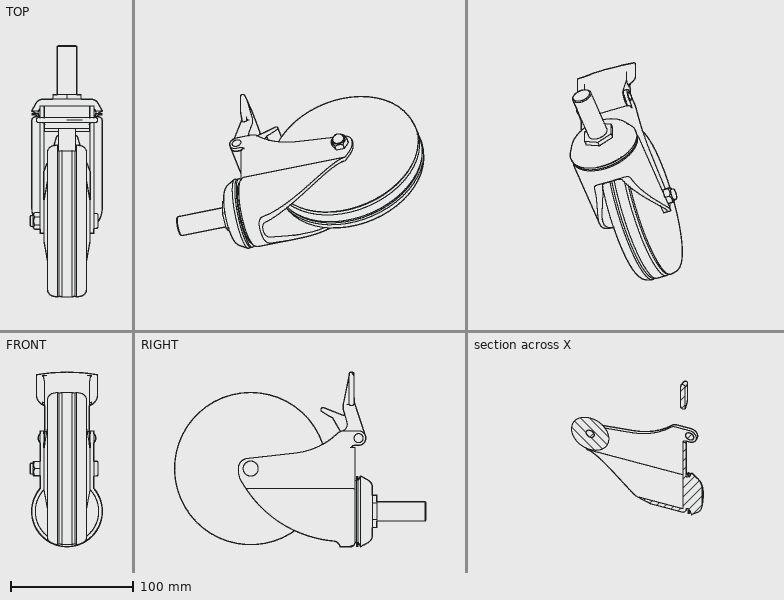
import cadquery as cq
import math


OVERALL_LENGTH = 205.9

WHEEL_RADIUS = 62.4
RIM_FACE_RADIUS = 55.5
RIM_HALF_WIDTH = 16.0
HUB_HALF_WIDTH = 19.0
HUB_RADIUS = 16.7
HUB_CONE_RADIUS = 32.7
CROWN_HALF_WIDTH = 4.1
GROOVE_FLOOR_X = 6.4
GROOVE_OUTER_X = 7.8
GROOVE_DEPTH = 0.8
SHOULDER_X = 10.7
SHOULDER_RADIUS = WHEEL_RADIUS - 0.6
SHOULDER_MIDDLE_X = 14.5
SHOULDER_MIDDLE_RADIUS = 60.0

AXLE_RADIUS = 4.0
NUT_ACROSS_FLATS = 12.0
NUT_HEIGHT = 5.8
NUT_CHAMFER = 1.5
BOLT_TIP_RADIUS = 4.5
BOLT_END_X = -30.3
BOLT_TIP_ROUND = 1.2
BOLT_HEAD_RADIUS = 6.2
BOLT_HEAD_HEIGHT = 3.5
BOLT_HEAD_ROUND = 1.6

SHEET = 3.0
FORK_HALF_GAP = HUB_HALF_WIDTH
FORK_HALF_WIDTH = FORK_HALF_GAP + SHEET
BARREL_RADIUS = 29.0
STEM_Z = -35.0
FORK_BACK_Y = 85.5
FORK_BEND_RADIUS = 3.7
WEB_TOP_Z = 17.3
EAR_RADIUS = 6.0
PIVOT_Y = 88.3
PIVOT_Z = 25.0
PIVOT_RADIUS = 3.7
RIVET_HEIGHT = 1.6

FORK_BROW = (75.8, PIVOT_Z + EAR_RADIUS)
FORK_BROW_END = (71.2, 29.0)
FORK_SADDLE_MIDDLE = (55.5, 18.1)
FORK_SADDLE_END = (37.0, 12.8)
FORK_NOSE_TOP = (-3.0, 8.2)
FORK_NOSE_TOP_MIDDLE = (-8.2, 5.4)
FORK_NOSE_Y = -10.0
FORK_NOSE_FLAT_Z = (-0.2, -2.0)
FORK_CHIN_MIDDLE = (-9.3, -6.8)
FORK_CHIN_END = (-7.2, -11.1)
FORK_SWEEP_START = (-4.0, -16.3)
FORK_SWEEP_MIDDLE = (27.8, -46.5)
FORK_SWEEP_END = (68.8, -59.5)
FORK_LIP_MIDDLE = (71.5, -61.0)
FORK_LIP_Y = 73.0

STEM_RADIUS = 8.0
STEM_END_Y = OVERALL_LENGTH - WHEEL_RADIUS
STEM_CHAMFER = 0.8
HEX_ACROSS_FLATS = 23.0
HEX_END_Y = 103.3
HEX_TURN = 30
CAP_BACK_Y = 99.6
CAP_RIM_Y = 90.0
CAP_SHOULDER_Y = 96.0
CAP_SHOULDER_RADIUS = 25.7
CAP_FACE_RADIUS = 20.8
SEAL_RADIUS = 28.6
SEAL_BACK_Y = 88.0
SEAL_FRONT_Y = 86.7
NECK_RADIUS = 25.3

LEVER_HALF_WIDTH = 18.3
LEVER_BOTTOM_Z = PIVOT_Z - EAR_RADIUS
LEVER_TOP_Z = 76.2
HOOK_RADIUS = 5.8
HOOK_Y = 73.3
HOOK_Z = 36.2
HOOK_MIDDLE_ANGLE = math.radians(-36)
LEVER_SLOPE = math.radians(18)
LEVER_BACK_KNEE = (84.8, 54.5)
LEVER_BACK_TOP_Y = 84.5
LEVER_BULGE_TOP = (76.2, 55.0)
LEVER_BULGE_MIDDLE = (75.5, 50.0)
LEVER_BULGE_END = (76.8, 44.9)

TONGUE_HALF_WIDTH = 7.0
TONGUE_ROOT_Y = 81.3
TONGUE_TOP = (75.8, 43.6)
TONGUE_BEND_START = (67.0, 41.5)
TONGUE_BEND_END = (63.8, 43.0)
TONGUE_TIP_BOTTOM = (58.3, 46.5)
TONGUE_TIP = (57.5, 48.5)
TONGUE_TIP_TOP = (60.1, 49.8)

PAD_FRONT_Y = 80.5
PAD_BACK_Y = 84.6
PAD_HALF_WIDTH = 25.1
PAD_TOP_Z = 79.0
PAD_TOP_CORNER_Z = 76.8
PAD_SIDE_END_Z = 59.3
PAD_BOTTOM_Z = 51.5
PAD_CORNER_MIDDLE = (23.3, 55.0)
PAD_CORNER_ROUND = 0.6
PAD_ROUND = 1.9
PAD_FILLET = 1.9
PAD_FILLET_BOTTOM_Z = 52.5


def along_x(outline, x_start, x_end):
    """Extrude a YZ outline between two X positions."""
    return outline.extrude(x_end - x_start).translate((x_start, 0, 0))


def disc_x(radius, x_start, x_end, y=0, z=0):
    """Cylinder parallel to X."""
    return along_x(cq.Workplane("YZ").center(y, z).circle(radius), x_start, x_end)


def make_wheel():
    """Wheel with a grooved tread, rounded shoulders, conical hub faces and an axle bore."""
    tread_right = [
        (CROWN_HALF_WIDTH, WHEEL_RADIUS),
        (GROOVE_FLOOR_X, WHEEL_RADIUS - GROOVE_DEPTH),
        (GROOVE_OUTER_X, WHEEL_RADIUS),
        (SHOULDER_X, SHOULDER_RADIUS),
    ]
    tread_left = [(-x, radius) for x, radius in reversed(tread_right)]
    return (
        cq.Workplane("XZ")
        .moveTo(-HUB_HALF_WIDTH, AXLE_RADIUS)
        .lineTo(-HUB_HALF_WIDTH, HUB_RADIUS)
        .lineTo(-RIM_HALF_WIDTH, HUB_CONE_RADIUS)
        .lineTo(-RIM_HALF_WIDTH, RIM_FACE_RADIUS)
        .threePointArc((-SHOULDER_MIDDLE_X, SHOULDER_MIDDLE_RADIUS), tread_left[0])
        .polyline(tread_left + tread_right, includeCurrent=False)
        .threePointArc((SHOULDER_MIDDLE_X, SHOULDER_MIDDLE_RADIUS), (RIM_HALF_WIDTH, RIM_FACE_RADIUS))
        .lineTo(RIM_HALF_WIDTH, HUB_CONE_RADIUS)
        .lineTo(HUB_HALF_WIDTH, HUB_RADIUS)
        .lineTo(HUB_HALF_WIDTH, AXLE_RADIUS)
        .close()
        .revolve(360, (0, 0, 0), (1, 0, 0))
    )


def fork_side_outline():
    """Side outline of the fork, in YZ."""
    ear_bottom_z = PIVOT_Z - EAR_RADIUS
    barrel_bottom_z = STEM_Z - BARREL_RADIUS
    return (
        cq.Workplane("YZ")
        .moveTo(FORK_BACK_Y, ear_bottom_z)
        .lineTo(PIVOT_Y, ear_bottom_z)
        .threePointArc((PIVOT_Y + EAR_RADIUS, PIVOT_Z), (PIVOT_Y, PIVOT_Z + EAR_RADIUS))
        .lineTo(*FORK_BROW)
        .tangentArcPoint(FORK_BROW_END, relative=False)
        .threePointArc(FORK_SADDLE_MIDDLE, FORK_SADDLE_END)
        .lineTo(*FORK_NOSE_TOP)
        .threePointArc(FORK_NOSE_TOP_MIDDLE, (FORK_NOSE_Y, FORK_NOSE_FLAT_Z[0]))
        .lineTo(FORK_NOSE_Y, FORK_NOSE_FLAT_Z[1])
        .threePointArc(FORK_CHIN_MIDDLE, FORK_CHIN_END)
        .lineTo(*FORK_SWEEP_START)
        .threePointArc(FORK_SWEEP_MIDDLE, FORK_SWEEP_END)
        .threePointArc(FORK_LIP_MIDDLE, (FORK_LIP_Y, barrel_bottom_z))
        .lineTo(FORK_BACK_Y, barrel_bottom_z)
        .close()
    )


def channel(half_width, barrel_radius, back_y):
    """Solid bar with straight sides above a round bottom, running along Y."""
    length = back_y - FORK_NOSE_Y
    barrel = cq.Workplane("XZ", (0, back_y, STEM_Z)).circle(barrel_radius).extrude(length)
    height = WEB_TOP_Z - STEM_Z
    sides = cq.Workplane("XY").box(2 * half_width, length, height, centered=(True, False, False))
    return barrel.union(sides.translate((0, FORK_NOSE_Y, STEM_Z)))


def cheek_outline():
    """Rectangle, in YZ, that holds the part of a fork plate above the web."""
    return (
        cq.Workplane("YZ")
        .moveTo(FORK_NOSE_Y, WEB_TOP_Z)
        .lineTo(FORK_NOSE_Y, PIVOT_Z + EAR_RADIUS)
        .lineTo(PIVOT_Y + EAR_RADIUS, PIVOT_Z + EAR_RADIUS)
        .lineTo(PIVOT_Y + EAR_RADIUS, WEB_TOP_Z)
        .close()
    )


def make_fork():
    """Sheet fork: two plates joined by a round barrel below and a web at the back."""
    shell = channel(FORK_HALF_WIDTH, BARREL_RADIUS, FORK_BACK_Y)
    bend_edges = shell.faces(">Y").edges().filter(lambda edge: edge.BoundingBox().zmin < WEB_TOP_Z - SHEET)
    shell = bend_edges.fillet(FORK_BEND_RADIUS)
    shell = shell.cut(channel(FORK_HALF_GAP, BARREL_RADIUS - SHEET, FORK_BACK_Y - SHEET))
    relief_z = PIVOT_Z - EAR_RADIUS - FORK_BEND_RADIUS
    for x_start in (-FORK_HALF_WIDTH, FORK_HALF_GAP):
        x_end = x_start + SHEET
        cheek = along_x(cheek_outline(), x_start, x_end)
        relief = disc_x(FORK_BEND_RADIUS, x_start, x_end, FORK_BACK_Y, relief_z)
        shell = shell.union(cheek.cut(relief))
    return shell.intersect(along_x(fork_side_outline(), -BARREL_RADIUS, BARREL_RADIUS))


def make_swivel():
    """Stem, hexagon, cap and seal, turned about the stem axis."""
    turned = (
        cq.Workplane("XY")
        .moveTo(0, FORK_BACK_Y)
        .lineTo(NECK_RADIUS, FORK_BACK_Y)
        .lineTo(NECK_RADIUS, SEAL_FRONT_Y)
        .lineTo(SEAL_RADIUS, SEAL_FRONT_Y)
        .lineTo(SEAL_RADIUS, SEAL_BACK_Y)
        .lineTo(NECK_RADIUS, SEAL_BACK_Y)
        .lineTo(BARREL_RADIUS, CAP_RIM_Y)
        .lineTo(CAP_SHOULDER_RADIUS, CAP_SHOULDER_Y)
        .tangentArcPoint((CAP_FACE_RADIUS, CAP_BACK_Y), relative=False)
        .lineTo(STEM_RADIUS, CAP_BACK_Y)
        .lineTo(STEM_RADIUS, STEM_END_Y - STEM_CHAMFER)
        .lineTo(STEM_RADIUS - STEM_CHAMFER, STEM_END_Y)
        .lineTo(0, STEM_END_Y)
        .close()
        .revolve(360, (0, 0, 0), (0, 1, 0))
        .translate((0, 0, STEM_Z))
    )
    hexagon = (
        cq.Workplane("XZ", (0, HEX_END_Y, STEM_Z))
        .transformed(rotate=(0, 0, HEX_TURN))
        .polygon(6, HEX_ACROSS_FLATS / math.cos(math.pi / 6))
        .extrude(HEX_END_Y - CAP_BACK_Y)
    )
    return turned.union(hexagon)


def point_on_circle(centre, radius, angle):
    """Point at an angle, in radians, on a circle."""
    return (centre[0] + radius * math.cos(angle), centre[1] + radius * math.sin(angle))


def lever_outline():
    """Side outline of the brake lever, in YZ, with a hooked hollow above the pivot."""
    hook_centre = (HOOK_Y, HOOK_Z)
    return (
        cq.Workplane("YZ")
        .moveTo(HOOK_Y, LEVER_BOTTOM_Z)
        .lineTo(PIVOT_Y, LEVER_BOTTOM_Z)
        .threePointArc(
            point_on_circle((PIVOT_Y, PIVOT_Z), EAR_RADIUS, -LEVER_SLOPE),
            point_on_circle((PIVOT_Y, PIVOT_Z), EAR_RADIUS, LEVER_SLOPE),
        )
        .lineTo(*LEVER_BACK_KNEE)
        .lineTo(LEVER_BACK_TOP_Y, LEVER_TOP_Z)
        .lineTo(PAD_FRONT_Y, LEVER_TOP_Z)
        .lineTo(*LEVER_BULGE_TOP)
        .threePointArc(LEVER_BULGE_MIDDLE, LEVER_BULGE_END)
        .lineTo(*point_on_circle(hook_centre, HOOK_RADIUS, LEVER_SLOPE))
        .threePointArc(
            point_on_circle(hook_centre, HOOK_RADIUS, HOOK_MIDDLE_ANGLE),
            (HOOK_Y, HOOK_Z - HOOK_RADIUS),
        )
        .close()
    )


def make_tongue():
    """Narrow tongue that rises out of the hook towards the wheel."""
    hook_bottom_z = HOOK_Z - HOOK_RADIUS
    outline = (
        cq.Workplane("YZ")
        .moveTo(HOOK_Y, hook_bottom_z)
        .lineTo(*TONGUE_BEND_START)
        .lineTo(*TONGUE_BEND_END)
        .lineTo(*TONGUE_TIP_BOTTOM)
        .threePointArc(TONGUE_TIP, TONGUE_TIP_TOP)
        .lineTo(*TONGUE_TOP)
        .lineTo(TONGUE_ROOT_Y, TONGUE_TOP[1])
        .lineTo(TONGUE_ROOT_Y, hook_bottom_z)
        .close()
    )
    return along_x(outline, -TONGUE_HALF_WIDTH, TONGUE_HALF_WIDTH)


def make_pad():
    """Pedal pad: a rounded plate with an arched top edge."""
    middle_x, middle_z = PAD_CORNER_MIDDLE
    pad = (
        cq.Workplane("XZ", (0, PAD_BACK_Y, 0))
        .moveTo(-PAD_HALF_WIDTH, PAD_SIDE_END_Z)
        .lineTo(-PAD_HALF_WIDTH, PAD_TOP_CORNER_Z)
        .threePointArc((0, PAD_TOP_Z), (PAD_HALF_WIDTH, PAD_TOP_CORNER_Z))
        .lineTo(PAD_HALF_WIDTH, PAD_SIDE_END_Z)
        .threePointArc((middle_x, middle_z), (LEVER_HALF_WIDTH, PAD_BOTTOM_Z))
        .lineTo(-LEVER_HALF_WIDTH, PAD_BOTTOM_Z)
        .threePointArc((-middle_x, middle_z), (-PAD_HALF_WIDTH, PAD_SIDE_END_Z))
        .close()
        .extrude(PAD_BACK_Y - PAD_FRONT_Y)
    )
    return pad.edges("|Y").fillet(PAD_CORNER_ROUND).faces("<Y or >Y").edges().fillet(PAD_ROUND)


def make_pivot_pin():
    """Pin with domed rivet heads."""
    dome_radius = (PIVOT_RADIUS**2 + RIVET_HEIGHT**2) / (2 * RIVET_HEIGHT)
    dome_centre = FORK_HALF_WIDTH + RIVET_HEIGHT - dome_radius
    middle_radius = PIVOT_RADIUS / 2
    middle_x = dome_centre + math.sqrt(dome_radius**2 - middle_radius**2)
    end_x = FORK_HALF_WIDTH + RIVET_HEIGHT
    return (
        cq.Workplane("XY")
        .moveTo(-end_x, 0)
        .threePointArc((-middle_x, middle_radius), (-FORK_HALF_WIDTH, PIVOT_RADIUS))
        .lineTo(FORK_HALF_WIDTH, PIVOT_RADIUS)
        .threePointArc((middle_x, middle_radius), (end_x, 0))
        .close()
        .revolve(360, (0, 0, 0), (1, 0, 0))
        .translate((0, PIVOT_Y, PIVOT_Z))
    )


def make_pad_fillets():
    """Concave fillets between the front of the pad and the sides of the lever."""
    height = LEVER_TOP_Z - PAD_FILLET_BOTTOM_Z
    centre_x = LEVER_HALF_WIDTH + PAD_FILLET
    centre_y = PAD_FRONT_Y - PAD_FILLET
    width = 2 * centre_x
    block = cq.Workplane("XY").box(width, PAD_FILLET, height, centered=(True, False, False))
    block = block.translate((0, centre_y, PAD_FILLET_BOTTOM_Z))
    rounds = (
        cq.Workplane("XY", (0, 0, PAD_FILLET_BOTTOM_Z))
        .pushPoints([(-centre_x, centre_y), (centre_x, centre_y)])
        .circle(PAD_FILLET)
        .extrude(height)
    )
    return block.cut(rounds).intersect(along_x(lever_outline(), -centre_x, centre_x))


def make_lever():
    """Brake lever with its tongue, pedal pad and pivot pin."""
    lever = along_x(lever_outline(), -LEVER_HALF_WIDTH, LEVER_HALF_WIDTH)
    return lever.union(make_tongue()).union(make_pad()).union(make_pad_fillets()).union(make_pivot_pin())


def make_axle():
    """Axle bolt with a round head on one side and a nut on the other."""
    shank = disc_x(AXLE_RADIUS, -FORK_HALF_WIDTH, FORK_HALF_WIDTH)
    nut_end = -FORK_HALF_WIDTH - NUT_HEIGHT
    corner = NUT_ACROSS_FLATS / math.cos(math.pi / 6)
    nut = along_x(cq.Workplane("YZ").polygon(6, corner), nut_end, -FORK_HALF_WIDTH)
    cone = disc_x(corner / 2, nut_end, -FORK_HALF_WIDTH).faces("<X").chamfer(NUT_CHAMFER)
    tip = disc_x(BOLT_TIP_RADIUS, BOLT_END_X, nut_end).faces("<X").edges().fillet(BOLT_TIP_ROUND)
    head = disc_x(BOLT_HEAD_RADIUS, FORK_HALF_WIDTH, FORK_HALF_WIDTH + BOLT_HEAD_HEIGHT)
    head = head.faces(">X").edges().fillet(BOLT_HEAD_ROUND)
    return shank.union(nut.intersect(cone)).union(tip).union(head)


wheel = make_wheel()
frame = make_fork().union(make_swivel()).union(make_lever()).union(make_axle())

result = cq.Compound.makeCompound([frame.solids().val(), wheel.solids().val()])